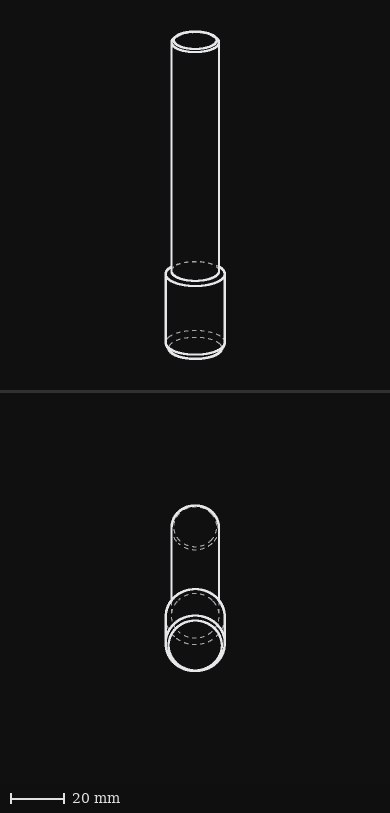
import cadquery as cq

total_length = 125.0
head_diameter = 22.0
head_length = 31.2
shank_diameter = 17.6

shoulder_height = 1.1
head_chamfer_width = 1.1
head_chamfer_height = 2.2
shank_chamfer = 0.9

head_radius = head_diameter / 2
shank_radius = shank_diameter / 2


def make_head():
    """Solid head with a steep lower chamfer and a conical shoulder."""
    return (
        cq.Workplane("XZ")
        .moveTo(0, 0)
        .lineTo(head_radius - head_chamfer_width, 0)
        .lineTo(head_radius, head_chamfer_height)
        .lineTo(head_radius, head_length - shoulder_height)
        .lineTo(shank_radius, head_length)
        .lineTo(0, head_length)
        .close()
        .revolve(360, (0, 0), (0, 1))
    )


def make_shank():
    """Round shank standing on the head, chamfered at its free end."""
    return (
        cq.Workplane("XY", origin=(0, 0, head_length))
        .circle(shank_radius)
        .extrude(total_length - head_length)
        .faces(">Z")
        .chamfer(shank_chamfer)
    )


head = make_head()
shank = make_shank()

result = cq.Compound.makeCompound([head.val(), shank.val()])